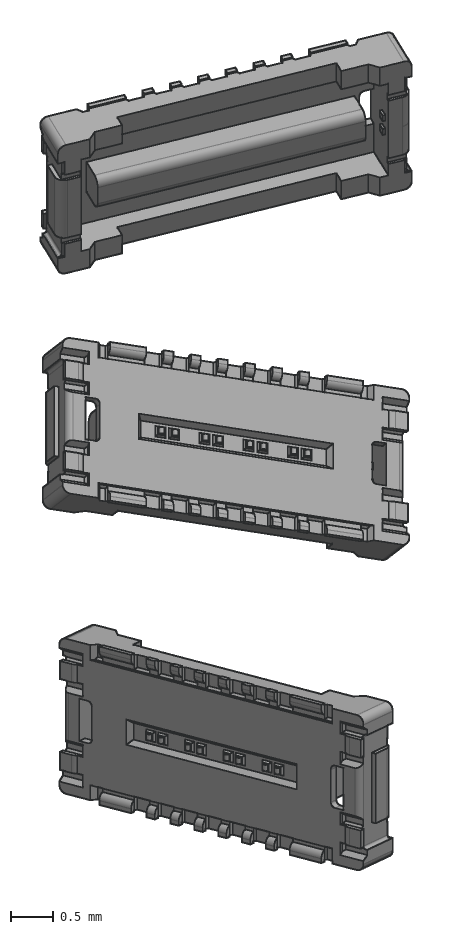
import cadquery as cq
import math


LENGTH = 4.49
WIDTH = 1.96
OVERALL_WIDTH = 2.0
HALF_LENGTH = LENGTH / 2
HALF_WIDTH = WIDTH / 2
X_BASE = -0.28
X_TOP = 0.30
X_RIM = 0.195
CORNER_RADIUS = 0.10
TOWER_START_Y = 1.736
TOWER_SLOPE = X_TOP - X_RIM

X_LEAD = -0.30
LEAD_THICKNESS = 0.065
X_SEAT = X_LEAD + LEAD_THICKNESS
X_POCKET = -0.205
POCKET_DEPTH = X_POCKET - X_SEAT
SEAT_FRACTION = (X_SEAT - X_BASE) / (X_POCKET - X_BASE)

LEAD_FLAT = 0.058
LEAD_RADIUS = 0.09
SIGNAL_WIDTH = 0.125
SIGNAL_PITCH = 0.352
SIGNAL_COUNT = 6
POWER_WIDTH = 0.468
POWER_Y = 1.404
NOTCH_HALF_LENGTH = 1.786
NOTCH_INNER_Z = 0.79
NOTCH_END_DRAFT = 0.055
POCKET_RAMP = 0.03
POCKET_SIDE_RAMP = 0.02

END_FACE_Y = 2.188
END_FACE_HALF_WIDTH = 0.725
END_FACE_RADIUS = 0.037
HOLD_DOWN_Y = 2.219
HOLD_DOWN_FLAT = 0.166
HOLD_DOWN_RADIUS = 0.16
HOLD_DOWN_INNER_Z = 0.459
HOLD_DOWN_OUTER_Z = END_FACE_HALF_WIDTH - END_FACE_RADIUS
END_NOTCH_Y = 1.90
END_NOTCH_WIDTH = 0.157
END_NOTCH_DRAFT = 0.055
END_EDGE_RADIUS = X_POCKET - X_BASE

PAD_HALF_WIDTH = 0.44
PAD_X = -0.04
PAD_EDGE_RADIUS = 0.12

RELIEF_OUTER_Z = 0.527
RELIEF_INNER_Z = PAD_HALF_WIDTH
RELIEF_X = 0.266
SETBACK_X = 0.273
SETBACK_DEPTH = 0.03

CAVITY_HALF_LENGTH = 1.947
CAVITY_HALF_WIDTH = 0.70
X_CAVITY_FLOOR = -0.17
ISLAND_HALF_LENGTH = 1.70
ISLAND_HALF_WIDTH = 0.23
ISLAND_EDGE_RADIUS = 0.107
WALL_OPENING_HALF_LENGTH = 1.39
WALL_OPENING_X = 0.035

WINDOW_INNER_Y = 1.764
WINDOW_HALF_WIDTH = 0.267
WINDOW_CORNER_RADIUS = 0.06
WINDOW_NUB_Z = 0.105
WINDOW_NUB_WIDTH = 0.088
WINDOW_NUB_DEPTH = 0.034
WINDOW_NUB_X = 0.10
WINDOW_NUB_HEIGHT = 0.10

SLOT_HALF_LENGTH = 1.257
SLOT_HALF_WIDTH = 0.16
SLOT_DEPTH = 0.075
SLOT_DRAFT = 0.055
TIP_PAIR_PITCH = 0.572
TIP_PAIR_COUNT = 4
TIP_SPACING = 0.178
TIP_BASE = 0.135
TIP_TOP = 0.10
TIP_HEIGHT = 0.035
TIP_RIDGE_RADIUS = 0.036
TIP_RIDGE_LENGTH = 0.08

OVERSHOOT = 0.1


def box(x0, x1, y0, y1, z0, z1):
    return cq.Workplane("XY").box(x1 - x0, y1 - y0, z1 - z0, centered=False).translate((x0, y0, z0))


def rectangle_wire(x, y0, y1, z0, z1):
    corners = [(x, y0, z0), (x, y1, z0), (x, y1, z1), (x, y0, z1)]
    return cq.Wire.makePolygon([cq.Vector(*corner) for corner in corners], close=True)


def tapered_block(x0, bounds0, x1, bounds1):
    """Block whose (y0, y1, z0, z1) bounds change linearly from x0 to x1."""
    wires = [rectangle_wire(x0, *bounds0), rectangle_wire(x1, *bounds1)]
    return cq.Workplane(cq.Solid.makeLoft(wires, True))


def mirrored_in_y(body):
    return body.union(body.mirror("XZ"))


def mirrored_in_z(body):
    return body.union(body.mirror("XY"))


def in_all_quadrants(body):
    return mirrored_in_z(mirrored_in_y(body))


def lead_section(plane, outer, flat, radius):
    """Lead section: flat face at X_LEAD, then a bend curving down to the seat on its inner side."""
    arc_start = outer - flat
    bend_angle = math.acos(1 - LEAD_THICKNESS / radius)
    arc_end = arc_start - radius * math.sin(bend_angle)
    arc_middle = (
        X_LEAD + radius * (1 - math.cos(bend_angle / 2)),
        arc_start - radius * math.sin(bend_angle / 2),
    )
    return (
        cq.Workplane(plane)
        .moveTo(X_LEAD, outer)
        .lineTo(X_LEAD, arc_start)
        .threePointArc(arc_middle, (X_SEAT, arc_end))
        .lineTo(X_SEAT, outer)
        .close()
    )


def housing():
    """Solid outline with raised towers at both ends and rounded long corners."""
    outline = [
        (X_BASE, -HALF_LENGTH),
        (X_TOP, -HALF_LENGTH),
        (X_TOP, -TOWER_START_Y - TOWER_SLOPE),
        (X_RIM, -TOWER_START_Y),
        (X_RIM, TOWER_START_Y),
        (X_TOP, TOWER_START_Y + TOWER_SLOPE),
        (X_TOP, HALF_LENGTH),
        (X_BASE, HALF_LENGTH),
    ]
    body = cq.Workplane("XY").polyline(outline).close().extrude(HALF_WIDTH, both=True)
    return body.intersect(
        cq.Workplane("YZ")
        .rect(LENGTH, WIDTH)
        .extrude(OVERALL_WIDTH, both=True)
        .edges("|X")
        .fillet(CORNER_RADIUS)
    )


def mating_cavity():
    """Ring-shaped cavity around the island, with both long walls opened in the middle."""
    cavity = box(
        X_CAVITY_FLOOR, X_TOP + OVERSHOOT,
        -CAVITY_HALF_LENGTH, CAVITY_HALF_LENGTH,
        -CAVITY_HALF_WIDTH, CAVITY_HALF_WIDTH,
    )
    island = box(
        X_CAVITY_FLOOR, X_RIM,
        -ISLAND_HALF_LENGTH, ISLAND_HALF_LENGTH,
        -ISLAND_HALF_WIDTH, ISLAND_HALF_WIDTH,
    )
    island = island.faces(">X").edges("|Y").fillet(ISLAND_EDGE_RADIUS)
    opening = box(
        WALL_OPENING_X, X_TOP,
        -WALL_OPENING_HALF_LENGTH, WALL_OPENING_HALF_LENGTH,
        CAVITY_HALF_WIDTH - OVERSHOOT, HALF_WIDTH + OVERSHOOT,
    )
    return cavity.union(mirrored_in_z(opening)).cut(island)


def windows():
    """Openings through the floor between the island ends and the end walls."""
    window = box(
        X_BASE - OVERSHOOT, X_CAVITY_FLOOR + OVERSHOOT,
        WINDOW_INNER_Y, CAVITY_HALF_LENGTH,
        -WINDOW_HALF_WIDTH, WINDOW_HALF_WIDTH,
    )
    window = window.faces("<Y").edges("|X").fillet(WINDOW_CORNER_RADIUS)
    return mirrored_in_y(window)


def window_nubs():
    """Small nubs on the cavity end walls, behind the windows."""
    nub = box(
        WINDOW_NUB_X, WINDOW_NUB_X + WINDOW_NUB_HEIGHT,
        CAVITY_HALF_LENGTH - WINDOW_NUB_DEPTH, CAVITY_HALF_LENGTH + OVERSHOOT,
        WINDOW_NUB_Z - WINDOW_NUB_WIDTH / 2, WINDOW_NUB_Z + WINDOW_NUB_WIDTH / 2,
    )
    return in_all_quadrants(nub)


def lead_spans():
    """(y0, y1) of every lead along a long edge, in order."""
    first_signal = -SIGNAL_PITCH * (SIGNAL_COUNT - 1) / 2
    signals = [first_signal + SIGNAL_PITCH * i for i in range(SIGNAL_COUNT)]
    spans = [(y - SIGNAL_WIDTH / 2, y + SIGNAL_WIDTH / 2) for y in signals]
    low_power = (-POWER_Y - POWER_WIDTH / 2, -POWER_Y + POWER_WIDTH / 2)
    high_power = (POWER_Y - POWER_WIDTH / 2, POWER_Y + POWER_WIDTH / 2)
    return [low_power] + spans + [high_power]


def edge_notches():
    """Long shallow notch in each base edge, deepened by ramped pockets between the leads."""
    z_out = HALF_WIDTH + OVERSHOOT
    spans = lead_spans()
    seat_half_length = NOTCH_HALF_LENGTH - NOTCH_END_DRAFT * SEAT_FRACTION
    floor_half_length = NOTCH_HALF_LENGTH - NOTCH_END_DRAFT
    notch = tapered_block(
        X_BASE, (-NOTCH_HALF_LENGTH, NOTCH_HALF_LENGTH, NOTCH_INNER_Z, z_out),
        X_SEAT, (-seat_half_length, seat_half_length, NOTCH_INNER_Z, z_out),
    )
    pocket_starts = [-seat_half_length] + [span[1] for span in spans]
    pocket_ends = [span[0] for span in spans] + [seat_half_length]
    floor_starts = [-floor_half_length] + [y + POCKET_SIDE_RAMP for y in pocket_starts[1:]]
    floor_ends = [y - POCKET_SIDE_RAMP for y in pocket_ends[:-1]] + [floor_half_length]
    for start, end, floor_start, floor_end in zip(pocket_starts, pocket_ends, floor_starts, floor_ends):
        pocket = tapered_block(
            X_SEAT, (start, end, NOTCH_INNER_Z, z_out),
            X_POCKET, (floor_start, floor_end, NOTCH_INNER_Z + POCKET_RAMP, z_out),
        )
        notch = notch.union(pocket)
    return mirrored_in_z(notch)


def edge_leads():
    """Power and signal leads, each ending in a rounded bend above its seat."""
    leads = cq.Workplane("XY")
    for start, end in lead_spans():
        section = lead_section("XZ", OVERALL_WIDTH / 2, LEAD_FLAT, LEAD_RADIUS)
        leads = leads.add(section.extrude(start - end).translate((0, start, 0)))
    return mirrored_in_z(leads.combine())


def end_face_recess():
    """Set the end faces back between the corners, leaving the raised pad in the middle."""
    recess = box(
        X_BASE - OVERSHOOT, X_TOP + OVERSHOOT,
        END_FACE_Y, HALF_LENGTH + OVERSHOOT,
        -END_FACE_HALF_WIDTH, END_FACE_HALF_WIDTH,
    )
    recess = recess.faces("<Y").edges("|X").fillet(END_FACE_RADIUS)
    pad = box(PAD_X, X_TOP + OVERSHOOT, 0, HALF_LENGTH, -PAD_HALF_WIDTH, PAD_HALF_WIDTH)
    return mirrored_in_y(recess.cut(pad))


def edge_rounding(x_face, x_direction, y_face, radius, half_width):
    """Waste to cut away so that the end wall edge at (x_face, y_face) becomes round."""
    x_center = x_face - x_direction * radius
    x_outer = x_face + x_direction * OVERSHOOT
    corner = box(
        min(x_center, x_outer), max(x_center, x_outer),
        y_face - radius, y_face + OVERSHOOT,
        -half_width, half_width,
    )
    round_bar = (
        cq.Workplane("XY")
        .center(x_center, y_face - radius)
        .circle(radius)
        .extrude(half_width, both=True)
    )
    return mirrored_in_y(corner.cut(round_bar))


def pad_rounding():
    """Rounded lead-in where the pad meets the mating side."""
    return edge_rounding(X_TOP, 1, HALF_LENGTH, PAD_EDGE_RADIUS, PAD_HALF_WIDTH)


def tower_reliefs():
    """Slots across the tower tops beside the pad, and the set-back strips next to them."""
    slot = box(RELIEF_X, X_TOP + OVERSHOOT, 0, HALF_LENGTH + OVERSHOOT, RELIEF_INNER_Z, RELIEF_OUTER_Z)
    strip = box(
        SETBACK_X, X_TOP + OVERSHOOT,
        END_FACE_Y - SETBACK_DEPTH, HALF_LENGTH + OVERSHOOT,
        RELIEF_OUTER_Z, END_FACE_HALF_WIDTH,
    )
    return in_all_quadrants(slot.union(strip))


def end_notch(lead_z, direction):
    """Notch beside a hold-down lead: upright at the lead, drafted on its far wall."""
    y_out = HALF_LENGTH + OVERSHOOT
    far_z = lead_z + direction * END_NOTCH_WIDTH
    far_seat_z = far_z - direction * END_NOTCH_DRAFT * SEAT_FRACTION
    far_floor_z = far_z - direction * END_NOTCH_DRAFT
    near_floor_z = lead_z + direction * POCKET_DEPTH
    upper = tapered_block(
        X_BASE, (END_NOTCH_Y, y_out, lead_z, far_z),
        X_SEAT, (END_NOTCH_Y, y_out, lead_z, far_seat_z),
    )
    lower = tapered_block(
        X_SEAT, (END_NOTCH_Y, y_out, lead_z, far_seat_z),
        X_POCKET, (END_NOTCH_Y + POCKET_DEPTH, y_out, near_floor_z, far_floor_z),
    )
    return upper.union(lower)


def end_edge_rounding():
    """Rounded base edge of the end wall between the two inner notches."""
    half_width = HOLD_DOWN_INNER_Z - END_NOTCH_WIDTH + END_NOTCH_DRAFT
    return edge_rounding(X_BASE, -1, END_FACE_Y, END_EDGE_RADIUS, half_width)


def end_notches():
    outer = end_notch(HOLD_DOWN_OUTER_Z, 1)
    inner = end_notch(HOLD_DOWN_INNER_Z, -1)
    return in_all_quadrants(outer.union(inner))


def hold_downs():
    """Hold-down leads at the ends; their bends run down into the base surface."""
    section = lead_section("XY", HOLD_DOWN_Y, HOLD_DOWN_FLAT, HOLD_DOWN_RADIUS)
    lead = section.extrude(HOLD_DOWN_OUTER_Z - HOLD_DOWN_INNER_Z).translate((0, 0, HOLD_DOWN_INNER_Z))
    return in_all_quadrants(lead)


def base_slot():
    """Central slot in the base with drafted walls."""
    return tapered_block(
        X_BASE, (-SLOT_HALF_LENGTH, SLOT_HALF_LENGTH, -SLOT_HALF_WIDTH, SLOT_HALF_WIDTH),
        X_BASE + SLOT_DEPTH,
        (
            -SLOT_HALF_LENGTH + SLOT_DRAFT, SLOT_HALF_LENGTH - SLOT_DRAFT,
            -SLOT_HALF_WIDTH + SLOT_DRAFT, SLOT_HALF_WIDTH - SLOT_DRAFT,
        ),
    )


def slot_tips():
    """Pairs of small tapered contact tips on the slot floor, each crowned by a rounded ridge."""
    tips = cq.Workplane("XY")
    x_floor = X_BASE + SLOT_DEPTH
    base = TIP_BASE / 2
    top = TIP_TOP / 2
    x_crown = x_floor - TIP_HEIGHT
    for pair in range(TIP_PAIR_COUNT):
        pair_y = TIP_PAIR_PITCH * (pair - (TIP_PAIR_COUNT - 1) / 2)
        for side in (-1, 1):
            y = pair_y + side * TIP_SPACING / 2
            tip = tapered_block(
                x_floor, (y - base, y + base, -base, base),
                x_crown, (y - top, y + top, -top, top),
            )
            ridge = (
                cq.Workplane("XY")
                .center(x_crown, y)
                .circle(TIP_RIDGE_RADIUS)
                .extrude(TIP_RIDGE_LENGTH / 2, both=True)
            )
            tips = tips.add(tip.union(ridge))
    return tips.combine()


result = (
    housing()
    .cut(mating_cavity())
    .cut(windows())
    .union(window_nubs())
    .cut(edge_notches())
    .union(edge_leads())
    .cut(end_face_recess())
    .cut(pad_rounding())
    .cut(tower_reliefs())
    .cut(end_notches())
    .cut(end_edge_rounding())
    .union(hold_downs())
    .cut(base_slot())
    .union(slot_tips())
)